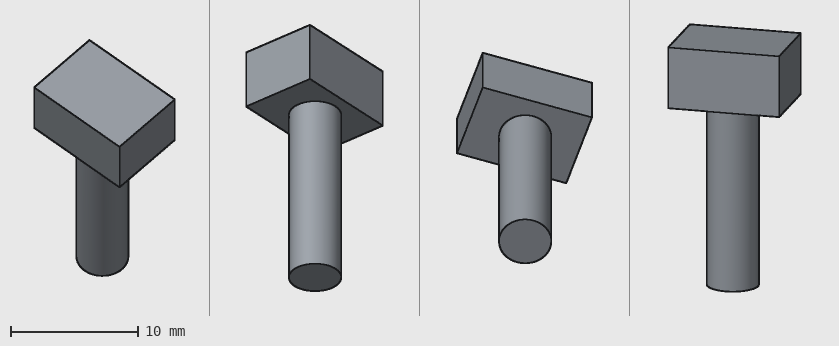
import cadquery as cq

head_length = 9.05
head_width = 6.5
head_height = 5.0

total_height = 20.0
shank_diameter = 4.12
shank_offset_x = -0.1
shank_offset_y = -0.15
shank_length = total_height - head_height

shank = (
    cq.Workplane("XY")
    .center(shank_offset_x, shank_offset_y)
    .circle(shank_diameter / 2)
    .extrude(shank_length)
)

head = (
    cq.Workplane("XY")
    .workplane(offset=shank_length)
    .rect(head_length, head_width)
    .extrude(head_height)
)

result = head.union(shank)